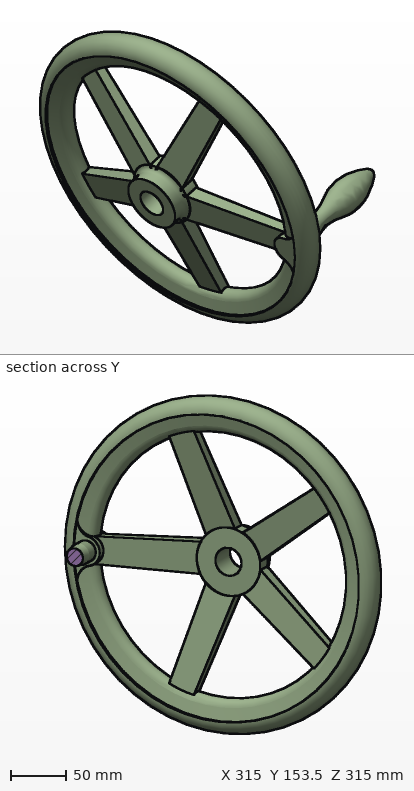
import cadquery as cq
import math


wheel_diameter = 315.0
rim_depth = 29.0
rim_lip_diameter = 287.0
rim_lip_width = 0.7
rim_lip_height = 2.25
rim_nose_radius = 9.5
rim_inner_radius = 124.5
rim_lip_radius = rim_lip_diameter / 2
rim_half_depth = rim_depth / 2
rim_web_half_depth = rim_half_depth - rim_lip_height
rim_nose_center = rim_inner_radius + rim_nose_radius

hub_front_radius = 27.0
hub_fillet = 5.0
hub_body_radius = hub_front_radius + hub_fillet
hub_front_y = -41.5
hub_shoulder_y = -26.5
hub_back_y = -11.0
bore_diameter = 26.0

spoke_count = 5
spoke_start_radius = 20.0
spoke_end_radius = 131.0
spoke_start_half_width = 15.4
spoke_end_half_width = 13.0
spoke_start_front_y = -28.4
spoke_end_front_y = -3.5
spoke_start_depth = 14.5
spoke_end_depth = 10.5

handle_radius_from_axis = 132.0
boss_radius = 14.0
boss_blend_radius = 15.0

handle_length = 97.5
collar_radius = 10.0
collar_length = 10.5
neck_radius = 8.1
neck_position = 23.5
grip_start_radius = 11.3
grip_start = 39.0
belly_radius = 16.0
belly_position = 60.0
tip_radius = 5.3
tip_chamfer = 2.3
grip_foot_angle = math.radians(24)
tip_angle = math.radians(30)


def make_rim():
    """Round outer bead, a small lip on each face, and a web tapering inwards to a rounded nose."""
    flank_run = rim_lip_radius - rim_nose_center
    flank_reach = math.hypot(flank_run, rim_web_half_depth)
    flank_angle = math.atan2(rim_web_half_depth, flank_run)
    tangent_angle = flank_angle + math.acos(rim_nose_radius / flank_reach)
    tangent_radius = rim_nose_center + rim_nose_radius * math.cos(tangent_angle)
    tangent_depth = rim_nose_radius * math.sin(tangent_angle)
    bead_edge = rim_lip_radius + rim_lip_width
    section = (
        cq.Workplane("XY")
        .moveTo(bead_edge, -rim_half_depth)
        .threePointArc((wheel_diameter / 2, 0), (bead_edge, rim_half_depth))
        .lineTo(rim_lip_radius, rim_half_depth)
        .lineTo(rim_lip_radius, rim_web_half_depth)
        .lineTo(tangent_radius, tangent_depth)
        .threePointArc((rim_inner_radius, 0), (tangent_radius, -tangent_depth))
        .lineTo(rim_lip_radius, -rim_web_half_depth)
        .lineTo(rim_lip_radius, -rim_half_depth)
        .close()
    )
    return section.revolve(360, (0, 0, 0), (0, 1, 0))


def make_hub():
    """Stepped hub with a concave fillet below its front shoulder."""
    fillet_y = hub_shoulder_y - hub_fillet
    fillet_offset = hub_fillet * (1 - math.sqrt(0.5))
    section = (
        cq.Workplane("XY")
        .moveTo(0, hub_front_y)
        .lineTo(hub_front_radius, hub_front_y)
        .lineTo(hub_front_radius, fillet_y)
        .threePointArc(
            (hub_front_radius + fillet_offset, hub_shoulder_y - fillet_offset),
            (hub_body_radius, hub_shoulder_y),
        )
        .lineTo(hub_body_radius, hub_back_y)
        .lineTo(0, hub_back_y)
        .close()
    )
    return section.revolve(360, (0, 0, 0), (0, 1, 0))


def make_spoke():
    """Spoke along +X, leaning back towards the rim and tapering in width and depth."""
    start_middle_y = spoke_start_front_y + spoke_start_depth / 2
    end_middle_y = spoke_end_front_y + spoke_end_depth / 2
    return (
        cq.Workplane("YZ", origin=(spoke_start_radius, 0, 0))
        .center(start_middle_y, 0)
        .rect(spoke_start_depth, 2 * spoke_start_half_width)
        .workplane(offset=spoke_end_radius - spoke_start_radius)
        .center(end_middle_y - start_middle_y, 0)
        .rect(spoke_end_depth, 2 * spoke_end_half_width)
        .loft(ruled=True)
    )


def make_handle_boss():
    """Round boss that flares into the rim with a concave blend on each side."""
    to_axis = rim_lip_radius - boss_blend_radius
    to_boss = boss_radius + boss_blend_radius
    blend_x = (to_axis**2 + handle_radius_from_axis**2 - to_boss**2) / (2 * handle_radius_from_axis)
    blend_z = math.sqrt(to_axis**2 - blend_x**2)
    boss_share = boss_radius / to_boss
    boss_x = handle_radius_from_axis + (blend_x - handle_radius_from_axis) * boss_share
    boss_z = blend_z * boss_share
    rim_x = blend_x * rim_lip_radius / to_axis
    rim_z = blend_z * rim_lip_radius / to_axis
    middle_x = (boss_x + rim_x) / 2 - blend_x
    middle_z = (boss_z + rim_z) / 2 - blend_z
    stretch = boss_blend_radius / math.hypot(middle_x, middle_z)
    bulge_x = blend_x + middle_x * stretch
    bulge_z = blend_z + middle_z * stretch
    return (
        cq.Workplane("XZ")
        .moveTo(rim_x, -rim_z)
        .threePointArc((bulge_x, -bulge_z), (boss_x, -boss_z))
        .threePointArc((handle_radius_from_axis - boss_radius, 0), (boss_x, boss_z))
        .threePointArc((bulge_x, bulge_z), (rim_x, rim_z))
        .threePointArc((rim_lip_radius, 0), (rim_x, -rim_z))
        .close()
        .extrude(rim_web_half_depth, both=True)
    )


def make_handle():
    """Turned handle: collar, waisted neck, bellied grip and chamfered tip."""
    belly = (belly_radius, belly_position)
    grip_foot = (grip_start_radius, grip_start)
    tip = (tip_radius, handle_length - tip_chamfer)
    grip_foot_slope = (math.sin(grip_foot_angle), math.cos(grip_foot_angle))
    tip_slope = (-math.sin(tip_angle), math.cos(tip_angle))
    profile = (
        cq.Workplane("XY", origin=(handle_radius_from_axis, rim_half_depth, 0))
        .moveTo(0, -rim_half_depth)
        .lineTo(collar_radius, -rim_half_depth)
        .lineTo(collar_radius, collar_length)
        .threePointArc((neck_radius, neck_position), grip_foot)
        .spline([belly, tip], tangents=[grip_foot_slope, tip_slope], includeCurrent=True)
        .lineTo(tip_radius - tip_chamfer, handle_length)
        .lineTo(0, handle_length)
        .close()
    )
    return profile.revolve(360, (0, 0, 0), (0, 1, 0))


def make_handwheel():
    wheel = make_rim().union(make_hub())
    spoke = make_spoke()
    for index in range(spoke_count):
        angle = index * 360 / spoke_count
        wheel = wheel.union(spoke.rotate((0, 0, 0), (0, 1, 0), angle))
    wheel = wheel.union(make_handle_boss()).union(make_handle())
    bore = (
        cq.Workplane("XZ", origin=(0, hub_back_y, 0))
        .circle(bore_diameter / 2)
        .extrude(hub_back_y - hub_front_y)
    )
    return wheel.cut(bore)


result = make_handwheel()